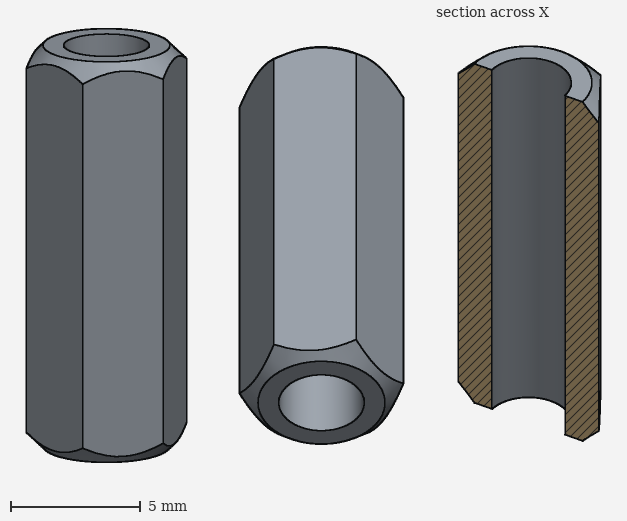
import cadquery as cq
import math

length = 16.0
across_flats = 5.5
bore_diameter = 3.3
end_face_diameter = 4.9

across_corners = across_flats / math.cos(math.pi / 6)
corner_radius = across_corners / 2
end_face_radius = end_face_diameter / 2
chamfer = corner_radius - end_face_radius


def hexagonal_bar():
    """Hexagonal prism with corners on the Y axis and flats facing X."""
    bar = cq.Workplane("XY").polygon(6, across_corners).extrude(length)
    return bar.rotate((0, 0, 0), (0, 0, 1), 90)


def coned_envelope():
    """Revolved body whose end cones trim the corners of the hexagon."""
    return (
        cq.Workplane("XZ")
        .moveTo(0, 0)
        .lineTo(end_face_radius, 0)
        .lineTo(corner_radius, chamfer)
        .lineTo(corner_radius, length - chamfer)
        .lineTo(end_face_radius, length)
        .lineTo(0, length)
        .close()
        .revolve(360, (0, 0, 0), (0, 1, 0))
    )


def bore():
    """Plain hole through the full length."""
    return cq.Workplane("XY").circle(bore_diameter / 2).extrude(length)


result = hexagonal_bar().intersect(coned_envelope()).cut(bore())